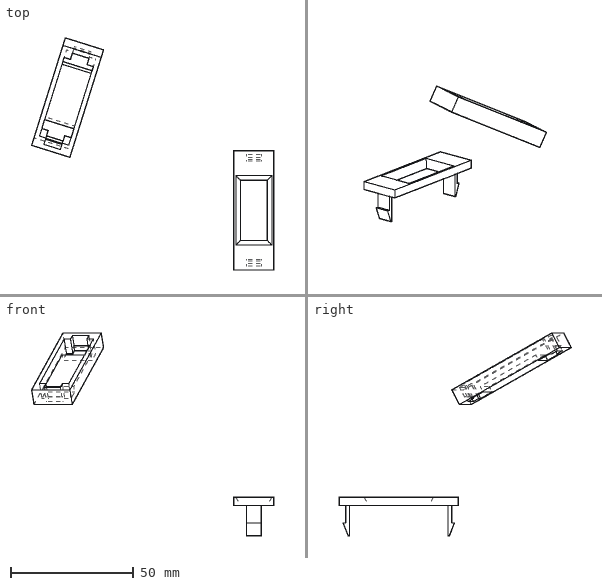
import cadquery as cq

WIDTH = 16.5
LENGTH = 48.9

FRAME_HEIGHT = 6.9
SIDE_WALL = 2.0
END_WALL = 5.3
NOTCH_WIDTH = 7.1
NOTCH_WALL = 2.2
LEDGE_WIDTH = 0.5
LEDGE_HEIGHT = 2.3
FLOOR_LENGTH = 27.1
FLOOR_THICKNESS = 2.5

FRAME_CENTRE = (-76.3, 46.2, 56.0)
FRAME_TILT = 28.5
FRAME_YAW = -17.4

COVER_THICKNESS = 3.5
WINDOW_TOP_WIDTH = 14.8
WINDOW_TOP_LENGTH = 28.5
WINDOW_TAPER = 2.0
LEG_WIDTH = 6.2
LEG_THICKNESS = 1.6
LEG_INSET = 2.7
LEG_LENGTH = 12.4
BARB_DROP = 7.2
BARB_REACH = 1.1
TIP_THICKNESS = 0.6


def upright_block(width, length, height, bottom):
    """Block centred on the Z axis, with its underside at the given height."""
    return cq.Workplane("XY").box(width, length, height, centered=(True, True, False)).translate((0, 0, bottom))


def make_frame():
    bottom = -FRAME_HEIGHT / 2
    notch_length = LENGTH - 2 * NOTCH_WALL
    pocket = upright_block(WIDTH - 2 * SIDE_WALL, LENGTH - 2 * END_WALL, FRAME_HEIGHT, bottom)
    lower_notch = upright_block(NOTCH_WIDTH, notch_length - 2 * LEDGE_WIDTH, LEDGE_HEIGHT, bottom)
    upper_notch = upright_block(
        NOTCH_WIDTH, notch_length, FRAME_HEIGHT - LEDGE_HEIGHT, bottom + LEDGE_HEIGHT
    )
    floor = upright_block(WIDTH - 2 * SIDE_WALL, FLOOR_LENGTH, FLOOR_THICKNESS, bottom)
    frame = upright_block(WIDTH, LENGTH, FRAME_HEIGHT, bottom)
    frame = frame.cut(pocket).cut(lower_notch).cut(upper_notch).union(floor)
    frame = frame.rotate((0, 0, 0), (1, 0, 0), FRAME_TILT)
    frame = frame.rotate((0, 0, 0), (0, 0, 1), FRAME_YAW)
    return frame.translate(FRAME_CENTRE)


def make_window():
    return (
        cq.Workplane("XY")
        .rect(WINDOW_TOP_WIDTH - 2 * WINDOW_TAPER, WINDOW_TOP_LENGTH - 2 * WINDOW_TAPER)
        .workplane(offset=COVER_THICKNESS)
        .rect(WINDOW_TOP_WIDTH, WINDOW_TOP_LENGTH)
        .loft(ruled=True)
    )


def make_leg():
    """Barbed leg at the +Y end, drawn in the YZ plane and reaching down from the cover."""
    outer = LENGTH / 2 - LEG_INSET
    inner = outer - LEG_THICKNESS
    profile = [
        (inner, 0),
        (outer, 0),
        (outer, -BARB_DROP),
        (outer + BARB_REACH, -BARB_DROP),
        (inner + TIP_THICKNESS, -LEG_LENGTH),
        (inner, -LEG_LENGTH),
    ]
    return cq.Workplane("YZ").polyline(profile).close().extrude(LEG_WIDTH / 2, both=True)


def make_cover():
    cover = upright_block(WIDTH, LENGTH, COVER_THICKNESS, 0).cut(make_window())
    leg = make_leg()
    return cover.union(leg).union(leg.mirror("XZ"))


frame = make_frame()
cover = make_cover()

result = cq.Compound.makeCompound([frame.val(), cover.val()])